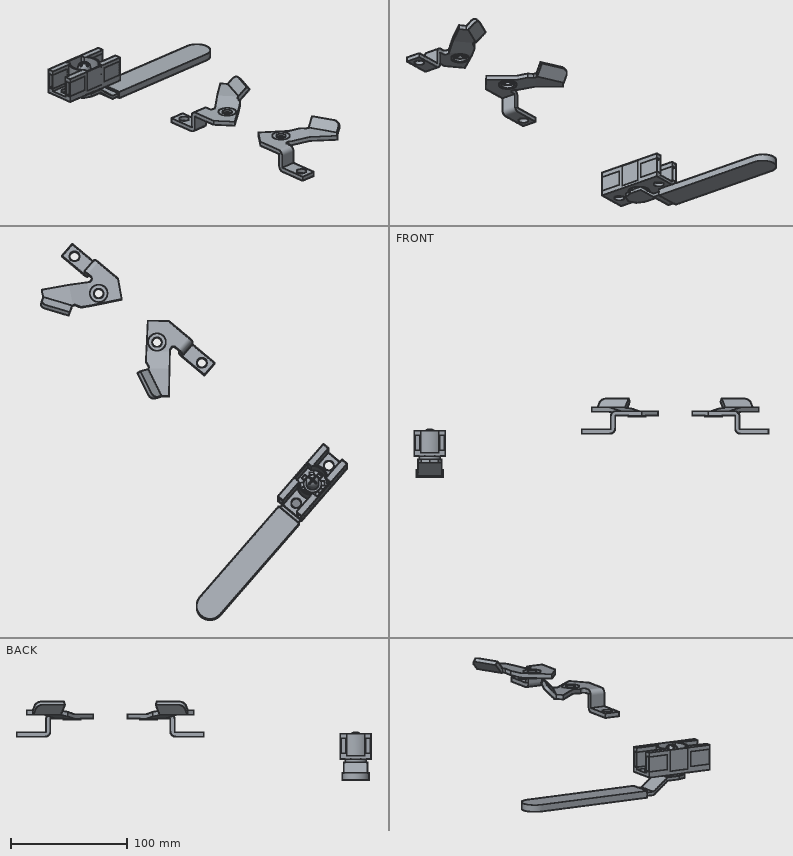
import cadquery as cq
import math


HOUSING_WIDTH = 27.0
HOUSING_LENGTH = 60.5
HOUSING_HEIGHT = 22.0
FLOOR = 3.0
CHANNEL_WIDTH = 15.3
SKIN = 1.0
SIDE_RECESS_LENGTH = 17.0
CUP_RADIUS = 13.5
CUP_BORE_RADIUS = 12.2
MOUNTING_HOLE_DIAMETER = 8.5
MOUNTING_HOLE_OFFSET = 21.7
POCKET_DEPTH = 18.3
POCKET_BOTTOM = 5.0
POCKET_TOP = 18.0

SHAFT_RADIUS = 5.5
SHAFT_RISE = 1.2
DRIVE_SLOT_WIDTH = 1.0
DRIVE_SLOT_DEPTH = 2.5
NECK_RADIUS = 9.2
NECK_HEIGHT = 2.7
LEVER_THICKNESS = 3.0
LEVER_DROP = 11.0
HUB_SIDES = 8
HUB_RADIUS = 10.5
HUB_OFFSET = 1.5
SLOPE_START = 10.0
SLOPE_END = 24.0
TANG_END = 136.0
GRIP_WIDTH = 23.2
GRIP_THICKNESS = 6.0
GRIP_START = 31.0
GRIP_BOTTOM = -18.0

STAR_RADIUS = 7.5
STAR_THICKNESS = 2.5
TOOTH_THICKNESS = 1.2
TOOTH_COUNT = 8
TOOTH_TIP = 10.5
TOOTH_WIDTH = 4.0

MIRROR_X = 211.2
BRACKET_REACH = 80.5
SHEET = 4.0
FOOT_BOTTOM = 19.2
PLATE_BOTTOM = 34.8
FOOT_FRONT = -23.5
FOOT_BACK = -9.8
LEG_FACE = 55.5
LEG_BEND = 4.5
FOOT_HOLE = (72.0, -16.5)
FOOT_HOLE_DIAMETER = 8.5
PLATE_FRONT_CORNER = 28.7
PLATE_TIP = (14.5, -12.0)
THROAT_SIDE = 45.5
THROAT_TOP = -5.5
THROAT_ROUND = 2.0
ARM_CORNER = (72.0, 27.2)
NOTCH_START = (36.5, 16.5)
NOTCH_END = (42.0, 18.5)
ARM_ANGLE = 51
ARM_BEND = (38.8, 2.9)
ARM_SLOPE_LENGTH = 16.0
ARM_RISE = 3.5
TAB_INNER = (43.0, 20.8)
TAB_OUTER = (66.8, 31.0)
TAB_LEAN = 45
TAB_LENGTH = 10.7
TAB_ROUND = 5.2

INSERT_PLACE = (33.0, -2.7)
INSERT_DIAMETER = 15.3
INSERT_BORE = 8.2
INSERT_BORE_LENGTH = 2.5
INSERT_RELIEF = 11.0
INSERT_OVERHANG = 1.0


def box(x_span, y_span, z_span):
    """A block between the given limits along X, Y and Z."""
    size = [high - low for low, high in (x_span, y_span, z_span)]
    return cq.Workplane().box(*size, centered=False).translate((x_span[0], y_span[0], z_span[0]))


def cylinder(radius, bottom, top, at=(0, 0)):
    return cq.Workplane().workplane(offset=bottom).center(*at).circle(radius).extrude(top - bottom)


def make_housing():
    half_width = HOUSING_WIDTH / 2
    half_length = HOUSING_LENGTH / 2
    half_channel = CHANNEL_WIDTH / 2
    half_recess = SIDE_RECESS_LENGTH / 2
    cavity_z = (FLOOR, HOUSING_HEIGHT)

    body = box((-half_width, half_width), (-half_length, half_length), (0, HOUSING_HEIGHT))
    channel = box((-half_channel, half_channel), (-half_length, half_length), cavity_z)
    cup = cylinder(CUP_RADIUS, *cavity_z)
    side_recess = box((SKIN - half_width, half_width - SKIN), (-half_recess, half_recess), cavity_z)
    body = body.cut(channel.cut(cup))
    body = body.cut(cylinder(CUP_BORE_RADIUS, *cavity_z)).cut(side_recess)
    body = body.cut(cylinder(SHAFT_RADIUS, 0, FLOOR))

    for end in (-1, 1):
        body = body.cut(
            cylinder(MOUNTING_HOLE_DIAMETER / 2, 0, FLOOR, (0, end * MOUNTING_HOLE_OFFSET))
        )
        pocket_y = sorted((end * half_length, end * (half_length - POCKET_DEPTH)))
        for side in (-1, 1):
            pocket_x = sorted((side * (half_channel + SKIN), side * (half_width - SKIN)))
            body = body.cut(box(pocket_x, pocket_y, (POCKET_BOTTOM, POCKET_TOP)))
    return body


def lever_strip():
    """Cranked flat bar with an eight-sided hub at the housing end."""
    hub_top = -NECK_HEIGHT
    hub_bottom = hub_top - LEVER_THICKNESS
    tang_top = hub_top - LEVER_DROP
    tang_bottom = hub_bottom - LEVER_DROP
    strip = (
        cq.Workplane("YZ")
        .polyline([
            (-HUB_OFFSET, hub_top), (SLOPE_START, hub_top), (SLOPE_END, tang_top),
            (TANG_END, tang_top), (TANG_END, tang_bottom), (SLOPE_END, tang_bottom),
            (SLOPE_START, hub_bottom), (-HUB_OFFSET, hub_bottom),
        ])
        .close()
        .extrude(HUB_RADIUS, both=True)
    )
    hub = (
        cq.Workplane()
        .workplane(offset=hub_bottom)
        .center(0, -HUB_OFFSET)
        .polygon(HUB_SIDES, 2 * HUB_RADIUS)
        .extrude(LEVER_THICKNESS)
    )
    return strip.union(hub)


def handle_shaft():
    """Neck and shaft below and through the housing floor, with a cross-slotted dome on top."""
    dome_base = HOUSING_HEIGHT + SHAFT_RISE - SHAFT_RADIUS
    shaft = cylinder(SHAFT_RADIUS, -NECK_HEIGHT, dome_base)
    shaft = shaft.union(cq.Workplane().sphere(SHAFT_RADIUS).translate((0, 0, dome_base)))
    slot_z = (HOUSING_HEIGHT + SHAFT_RISE - DRIVE_SLOT_DEPTH, HOUSING_HEIGHT + SHAFT_RISE)
    across = (-SHAFT_RADIUS, SHAFT_RADIUS)
    narrow = (-DRIVE_SLOT_WIDTH / 2, DRIVE_SLOT_WIDTH / 2)
    shaft = shaft.cut(box(across, narrow, slot_z)).cut(box(narrow, across, slot_z))
    return shaft.union(cylinder(NECK_RADIUS, -NECK_HEIGHT, 0))


def handle_grip():
    half_width = GRIP_WIDTH / 2
    return (
        cq.Workplane()
        .workplane(offset=GRIP_BOTTOM)
        .moveTo(-half_width, GRIP_START)
        .lineTo(half_width, GRIP_START)
        .lineTo(half_width, TANG_END)
        .threePointArc((0, TANG_END + half_width), (-half_width, TANG_END))
        .close()
        .extrude(GRIP_THICKNESS)
    )


def handle_star():
    """Collar with radial teeth that rests on the housing floor."""
    star = cylinder(STAR_RADIUS, FLOOR, FLOOR + STAR_THICKNESS)
    half_tooth = TOOTH_WIDTH / 2
    tooth = box((0, TOOTH_TIP), (-half_tooth, half_tooth), (FLOOR, FLOOR + TOOTH_THICKNESS))
    for i in range(TOOTH_COUNT):
        star = star.union(tooth.rotate((0, 0, 0), (0, 0, 1), i * 360 / TOOTH_COUNT))
    return star


def make_handle():
    return lever_strip().union(handle_grip()).union(handle_shaft()).union(handle_star())


def bracket_foot():
    """Z-shaped strip: foot, upright leg and the start of the plate."""
    foot_top = FOOT_BOTTOM + SHEET
    plate_top = PLATE_BOTTOM + SHEET
    leg_back = LEG_FACE - SHEET
    strip_start = LEG_FACE - LEG_BEND
    foot_start = leg_back + LEG_BEND
    return (
        cq.Workplane("XZ", origin=(0, FOOT_BACK, 0))
        .moveTo(strip_start, plate_top)
        .radiusArc((LEG_FACE, plate_top - LEG_BEND), LEG_BEND)
        .lineTo(LEG_FACE, foot_top)
        .lineTo(BRACKET_REACH, foot_top)
        .lineTo(BRACKET_REACH, FOOT_BOTTOM)
        .lineTo(foot_start, FOOT_BOTTOM)
        .radiusArc((leg_back, FOOT_BOTTOM + LEG_BEND), LEG_BEND)
        .lineTo(leg_back, PLATE_BOTTOM)
        .lineTo(strip_start, PLATE_BOTTOM)
        .close()
        .extrude(FOOT_BACK - FOOT_FRONT)
    )


def bracket_arm():
    """Plate and raised arm: the stepped sheet trimmed to its outline."""
    angle = math.radians(ARM_ANGLE)
    along = (math.cos(angle), math.sin(angle), 0)
    sideways = (math.sin(angle), -math.cos(angle), 0)
    reach = BRACKET_REACH
    top = PLATE_BOTTOM + SHEET
    sheet = (
        cq.Workplane(cq.Plane((*ARM_BEND, 0), along, sideways))
        .polyline([
            (-reach, PLATE_BOTTOM), (0, PLATE_BOTTOM),
            (ARM_SLOPE_LENGTH, PLATE_BOTTOM + ARM_RISE), (reach, PLATE_BOTTOM + ARM_RISE),
            (reach, top + ARM_RISE), (ARM_SLOPE_LENGTH, top + ARM_RISE), (0, top), (-reach, top),
        ])
        .close()
        .extrude(reach, both=True)
    )
    outline = (
        cq.Workplane()
        .moveTo(LEG_FACE - LEG_BEND, FOOT_FRONT)
        .lineTo(PLATE_FRONT_CORNER, FOOT_FRONT)
        .lineTo(*PLATE_TIP)
        .lineTo(*NOTCH_START)
        .lineTo(*NOTCH_END)
        .lineTo(*TAB_INNER)
        .lineTo(*TAB_OUTER)
        .lineTo(*ARM_CORNER)
        .lineTo(THROAT_SIDE, THROAT_TOP)
        .lineTo(THROAT_SIDE, FOOT_BACK + THROAT_ROUND)
        .radiusArc((THROAT_SIDE + THROAT_ROUND, FOOT_BACK), -THROAT_ROUND)
        .lineTo(LEG_FACE - LEG_BEND, FOOT_BACK)
        .close()
        .extrude(top + ARM_RISE)
    )
    return sheet.intersect(outline)


def bracket_tab():
    """Tab leaning up from the end of the arm, with one rounded corner."""
    across = cq.Vector(*TAB_OUTER) - cq.Vector(*TAB_INNER)
    outward = cq.Vector(-across.y, across.x)
    bottom = PLATE_BOTTOM + ARM_RISE
    top = bottom + SHEET
    lean = math.radians(TAB_LEAN)
    run = TAB_LENGTH * math.cos(lean)
    rise = TAB_LENGTH * math.sin(lean)
    end_run = SHEET * math.sin(lean)
    end_drop = SHEET * math.cos(lean)
    root = SHEET * math.tan(lean / 2)
    tab = (
        cq.Workplane(cq.Plane((*TAB_INNER, 0), outward, across))
        .polyline([
            (0, top), (run, top + rise), (run + end_run, top + rise - end_drop),
            (root, bottom), (0, bottom),
        ])
        .close()
        .extrude(across.Length)
    )
    end_edge = outward.normalized() * end_run - cq.Vector(0, 0, end_drop)
    corner = tab.edges(cq.selectors.ParallelDirSelector(end_edge))
    corner = corner.edges(cq.selectors.DirectionMinMaxSelector(across))
    return corner.fillet(TAB_ROUND)


def make_bracket():
    plate_z = (PLATE_BOTTOM, PLATE_BOTTOM + SHEET)
    foot_z = (FOOT_BOTTOM, FOOT_BOTTOM + SHEET)
    bracket = bracket_foot().union(bracket_arm()).union(bracket_tab())
    bracket = bracket.cut(cylinder(INSERT_DIAMETER / 2, *plate_z, INSERT_PLACE))
    return bracket.cut(cylinder(FOOT_HOLE_DIAMETER / 2, *foot_z, FOOT_HOLE))


def make_insert():
    bottom = PLATE_BOTTOM - INSERT_OVERHANG
    top = PLATE_BOTTOM + SHEET
    bushing = cylinder(INSERT_DIAMETER / 2, bottom, top, INSERT_PLACE)
    relief = cylinder(INSERT_RELIEF / 2, bottom, top - INSERT_BORE_LENGTH, INSERT_PLACE)
    return bushing.cut(cylinder(INSERT_BORE / 2, bottom, top, INSERT_PLACE)).cut(relief)


def both_sides(body):
    """The body on each side of the mirror plane between the two brackets."""
    return [side.translate((MIRROR_X, 0, 0)).val() for side in (body.mirror("YZ"), body)]


housing = make_housing()
handle = make_handle()
brackets = both_sides(make_bracket())
inserts = both_sides(make_insert())

result = cq.Compound.makeCompound([housing.val(), handle.val(), *brackets, *inserts])